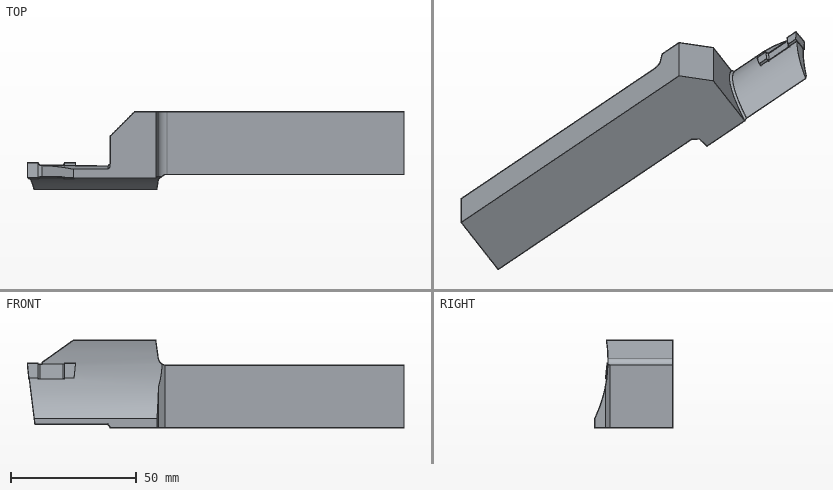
import cadquery as cq

SHANK = 25.0
LENGTH = 150.0
HEAD_HEIGHT = 35.0
FRONT_REACH = 6.0

HEAD_END_X = 51.2
FRONT_END_X = 51.6
END_SLOPE = 0.14
TOP_BLEND_END_X = 55.6
FRONT_BEVEL_END_X = 54.8
BLEND_HEIGHT = 2.7
FRONT_BEVEL_DEPTH = 1.8

BLOCK_X = 33.0
BLOCK_BEVEL = 9.8
ROOT_CHAMFER = 0.9

FRONT_RADIUS = 52.5
FRONT_CREST_Y = -0.8
FRONT_CREST_Z = 26.7
BACK_RADIUS = 34.5
BACK_CREST_Y = 3.52
BACK_CREST_Z = 25.2
BLADE_TOE_X = 3.0
BLADE_TOE_Z = 1.4
SLOPE_FOOT_X = 5.8
SLOPE_FOOT_Z = 26.1
SLOPE_TOP_X = 18.3

INSERT_LENGTH = 19.2
INSERT_WIDTH = 5.8
INSERT_HEIGHT = 5.8
INSERT_TOP_Z = 25.5
INSERT_CENTER_Y = 1.8
INSERT_TILT = 6.0
INSERT_RELIEF = 0.6
INSERT_END = 4.4
WAIST_FRONT_RECESS = 0.3
WAIST_BACK_RECESS = 0.9
WAIST_CHAMFER = 0.6
WAIST_DROP = 0.38

MARGIN = 15.0


def holder_side_prism():
    """Side outline: the shank, and the taller head blended down onto it."""
    blend_z = SHANK + BLEND_HEIGHT
    blend_x = HEAD_END_X + END_SLOPE * (HEAD_HEIGHT - blend_z)
    return (
        cq.Workplane("XZ", origin=(0, SHANK, 0))
        .moveTo(0, 0)
        .lineTo(0, HEAD_HEIGHT)
        .lineTo(HEAD_END_X, HEAD_HEIGHT)
        .lineTo(blend_x, blend_z)
        .tangentArcPoint((TOP_BLEND_END_X, SHANK), relative=False)
        .lineTo(LENGTH, SHANK)
        .lineTo(LENGTH, 0)
        .close()
        .extrude(SHANK + FRONT_REACH)
    )


def holder_plan_prism():
    """Plan outline: the front of the head bevelled back onto the shank."""
    blend_x = FRONT_END_X + END_SLOPE * (FRONT_REACH - FRONT_BEVEL_DEPTH)
    return (
        cq.Workplane("XY")
        .moveTo(0, -FRONT_REACH)
        .lineTo(FRONT_END_X, -FRONT_REACH)
        .lineTo(blend_x, -FRONT_BEVEL_DEPTH)
        .lineTo(FRONT_BEVEL_END_X, 0)
        .lineTo(LENGTH, 0)
        .lineTo(LENGTH, SHANK)
        .lineTo(0, SHANK)
        .close()
        .extrude(HEAD_HEIGHT)
    )


def x_cylinder(crest_y, crest_z, radius, length):
    """Cylinder along X from x = 0, with its rearmost line at the crest."""
    return cq.Workplane("YZ").center(crest_y - radius, crest_z).circle(radius).extrude(length)


def front_hollow():
    """Concave front face of the head."""
    return x_cylinder(FRONT_CREST_Y, FRONT_CREST_Z, FRONT_RADIUS, FRONT_BEVEL_END_X)


def space_behind_blade():
    """Everything in front of the block that lies outside the blade's back arc."""
    plan = (
        cq.Workplane("XY", origin=(0, 0, -MARGIN))
        .moveTo(-MARGIN, -MARGIN)
        .lineTo(BLOCK_X, -MARGIN)
        .lineTo(BLOCK_X, SHANK - BLOCK_BEVEL)
        .lineTo(BLOCK_X + BLOCK_BEVEL + MARGIN, SHANK + MARGIN)
        .lineTo(-MARGIN, SHANK + MARGIN)
        .close()
        .extrude(HEAD_HEIGHT + 2 * MARGIN)
    )
    core = x_cylinder(BACK_CREST_Y, BACK_CREST_Z, BACK_RADIUS, BLOCK_X)
    root = (
        cq.Workplane("YZ", origin=(BLOCK_X - ROOT_CHAMFER, 0, 0))
        .center(BACK_CREST_Y - BACK_RADIUS, BACK_CREST_Z)
        .circle(BACK_RADIUS)
        .workplane(offset=ROOT_CHAMFER)
        .circle(BACK_RADIUS + ROOT_CHAMFER)
        .loft(ruled=True)
    )
    return plan.cut(core).cut(root)


def nose_clearance():
    """Material ahead of the relieved blade end and its sloping top edge."""
    relief = BLADE_TOE_X / (INSERT_TOP_Z - BLADE_TOE_Z)
    seat_z = INSERT_TOP_Z - INSERT_HEIGHT / 2
    slope = (HEAD_HEIGHT - SLOPE_FOOT_Z) / (SLOPE_TOP_X - SLOPE_FOOT_X)
    return (
        cq.Workplane("XZ", origin=(0, SHANK, 0))
        .moveTo(-MARGIN, -MARGIN)
        .lineTo(BLADE_TOE_X + relief * (BLADE_TOE_Z + MARGIN), -MARGIN)
        .lineTo(relief * (INSERT_TOP_Z - seat_z), seat_z)
        .lineTo(INSERT_END, seat_z)
        .lineTo(SLOPE_FOOT_X, INSERT_TOP_Z - WAIST_DROP)
        .lineTo(SLOPE_FOOT_X, SLOPE_FOOT_Z)
        .lineTo(SLOPE_TOP_X + MARGIN, HEAD_HEIGHT + slope * MARGIN)
        .lineTo(-MARGIN, HEAD_HEIGHT + slope * MARGIN)
        .close()
        .extrude(SHANK + FRONT_REACH + MARGIN)
    )


def insert_end(start, finish, start_low, finish_low):
    """Wide end of the insert, a prism with the given top and bottom X limits."""
    return (
        cq.Workplane("XZ", origin=(0, INSERT_WIDTH / 2, 0))
        .moveTo(start, 0)
        .lineTo(finish, 0)
        .lineTo(finish_low, -INSERT_HEIGHT)
        .lineTo(start_low, -INSERT_HEIGHT)
        .close()
        .extrude(INSERT_WIDTH)
    )


def insert_waist():
    """Narrow middle of the insert, flaring to full width at both ends."""
    half = INSERT_WIDTH / 2
    front = WAIST_FRONT_RECESS - half
    back = half - WAIST_BACK_RECESS
    left = INSERT_END
    right = INSERT_LENGTH - INSERT_END
    inner_left = left + WAIST_CHAMFER
    inner_right = right - WAIST_CHAMFER
    return (
        cq.Workplane("XY", origin=(0, 0, -WAIST_DROP))
        .polyline([
            (left, -half), (inner_left, front), (inner_right, front), (right, -half),
            (right, half), (inner_right, back), (inner_left, back), (left, half),
        ])
        .close()
        .extrude(-INSERT_HEIGHT)
    )


def make_insert():
    """Insert modelled flat with its top face at z = 0, then tilted into place."""
    tail = INSERT_LENGTH - INSERT_END
    nose_block = insert_end(0, INSERT_END, INSERT_RELIEF, INSERT_END)
    tail_block = insert_end(tail, INSERT_LENGTH, tail, INSERT_LENGTH - INSERT_RELIEF)
    return (
        nose_block.union(insert_waist())
        .union(tail_block)
        .rotate((0, 0, 0), (1, 0, 0), -INSERT_TILT)
        .translate((0, INSERT_CENTER_Y, INSERT_TOP_Z))
    )


def make_holder(insert):
    """Shank, head and blade in one piece, with a pocket that fits the insert."""
    return (
        holder_side_prism()
        .intersect(holder_plan_prism())
        .cut(front_hollow())
        .cut(space_behind_blade())
        .cut(nose_clearance())
        .cut(insert)
    )


insert = make_insert()
holder = make_holder(insert)

result = cq.Compound.makeCompound([holder.val(), insert.val()])